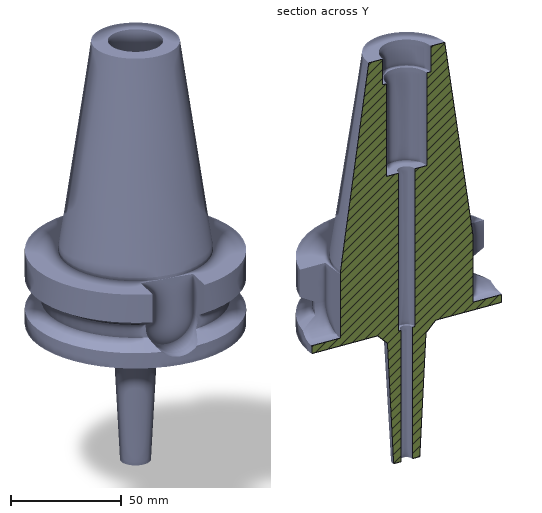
import cadquery as cq
import math


gauge_radius = 69.85 / 2
shank_length = 101.8
taper_ratio = 7 / 24
shank_top_radius = gauge_radius - shank_length * taper_ratio / 2

flange_radius = 50.0
flange_top_z = -1.5
flange_bottom_z = -38.0
groove_top_z = -15.4
groove_bottom_z = -30.4
groove_root_radius = 42.6
groove_flank_angle = 30.0
groove_flank_height = (flange_radius - groove_root_radius) * math.tan(math.radians(groove_flank_angle))

nose_tip_z = -105.0
nose_tip_radius = 7.0
nose_half_angle = 3.0
collar_height = 5.0
nose_top_z = flange_bottom_z - collar_height
nose_top_radius = nose_tip_radius + (nose_top_z - nose_tip_z) * math.tan(math.radians(nose_half_angle))
collar_radius = nose_top_radius + collar_height

slot_width = 25.7
slot_radius = slot_width / 2
slot_bottom_z = -33.8
slot_floor_x = 35.0

mouth_bore = (12.5, 13.0)
thread_bore = (10.4, 60.0)
feed_bore = (4.2, 140.0)
tool_bore = (3.0, shank_length - nose_tip_z)


def make_body():
    profile = [
        (0, shank_length),
        (shank_top_radius, shank_length),
        (gauge_radius, 0),
        (gauge_radius, flange_top_z),
        (flange_radius, flange_top_z),
        (flange_radius, groove_top_z),
        (groove_root_radius, groove_top_z - groove_flank_height),
        (groove_root_radius, groove_bottom_z + groove_flank_height),
        (flange_radius, groove_bottom_z),
        (flange_radius, flange_bottom_z),
        (collar_radius, flange_bottom_z),
        (nose_top_radius, nose_top_z),
        (nose_tip_radius, nose_tip_z),
        (0, nose_tip_z),
    ]
    return cq.Workplane("XZ").polyline(profile).close().revolve(360, (0, 0, 0), (0, 1, 0))


def make_drive_slot(side):
    """Round-bottomed slot cutter, open upward and outward; side is +1 or -1 along X."""
    arc_center_z = slot_bottom_z + slot_radius
    return (
        cq.Workplane("YZ", origin=(side * slot_floor_x, 0, 0))
        .moveTo(-slot_radius, flange_top_z)
        .lineTo(-slot_radius, arc_center_z)
        .threePointArc((0, slot_bottom_z), (slot_radius, arc_center_z))
        .lineTo(slot_radius, flange_top_z)
        .close()
        .extrude(side * (flange_radius - slot_floor_x))
    )


def make_bore(radius, depth):
    return cq.Workplane("XY", origin=(0, 0, shank_length)).circle(radius).extrude(-depth)


result = make_body()
for side in (1, -1):
    result = result.cut(make_drive_slot(side))
for radius, depth in (mouth_bore, thread_bore, feed_bore, tool_bore):
    result = result.cut(make_bore(radius, depth))